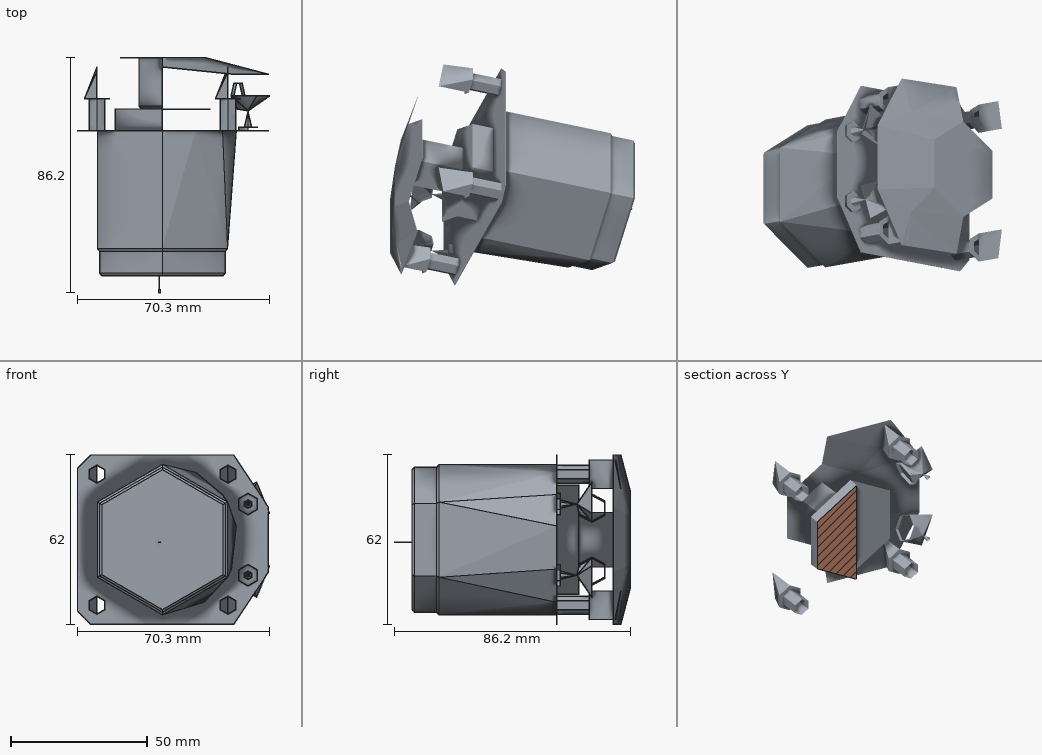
import cadquery as cq
import math


SHEET = 0.2

FLANGE_LEFT = 31.1
FLANGE_HEIGHT = 62.0
FLANGE_HALF_HEIGHT = FLANGE_HEIGHT / 2
FLANGE_CORNER = 4.8
RIM_RADIUS = 40.5
RIM_HALF_ANGLE = 17.2

HOUSING_RADIUS = 27.5
NECK_RADIUS = 26.55
HOUSING_LENGTH = 44.1
NECK_END = 53.1
CHAMFER = 0.95
SPLIT_ANGLE = 79.5
FACETS_PER_RUN = 3

TIP_X = -1.1
TIP_Z = -0.9
TIP_END = 59.4
TIP_LENGTH = 1.3
TIP_WIDTH = 0.7

HUB_RADIUS = 20.0
HUB_HEIGHT = 7.9
ARM_RADIUS = 10.0
ARM_START = 9.0

COVER_Y = 26.8
COVER_DISC_RADIUS = 17.75
COVER_SIDE_Y = 23.35
COVER_RIM_Y = 20.7

PIN_OFFSET = 24.0
PIN_RADIUS = 3.4
PIN_LENGTH = 11.8
COLLAR_RADIUS = 5.3
WEDGE_INNER_Y = 23.35
WEDGE_OUTER_Y = 21.55

TERMINAL_X = 31.3
TERMINAL_Z = 13.0
CUP_RADIUS = 8.0 / 2
CUP_DEPTH = 1.3
SPIKE_RADIUS = 1.6
SPIKE_END = 7.2
SPIKE_TIP = 0.9
LUG_AXIS_Y = 12.8
LUG_INNER = 29.4
LUG_OUTER = 39.9
LUG_RING_RADIUS = 5.35
LUG_END_RADIUS = 6.2
LUG_RING_WIDTH = 1.1


def on_circle(radius, degrees_from_top):
    """X and Z of a point on a circle, measured from +Z towards +X."""
    angle = math.radians(degrees_from_top)
    return radius * math.sin(angle), radius * math.cos(angle)


def hexagon(radius):
    """Six corners, two of them on the Z axis."""
    return [on_circle(radius, 60 * i) for i in range(6)]


def half_hexagon(radius):
    """The -X half of the hexagon."""
    return [on_circle(radius, 180 + 60 * i) for i in range(4)]


def shifted(outline, x, z):
    return [(px + x, pz + z) for px, pz in outline]


def polygon(points):
    return cq.Wire.makePolygon([cq.Vector(*point) for point in points], close=True)


def wire(outline, y):
    return polygon([(x, y, z) for x, z in outline])


def prism(outline, y_start, y_end):
    return cq.Solid.extrudeLinear(wire(outline, y_start), [], cq.Vector(0, y_end - y_start, 0))


def frustum(outline_start, y_start, outline_end, y_end):
    return cq.Solid.makeLoft([wire(outline_start, y_start), wire(outline_end, y_end)], True)


def polyhedron(faces):
    sides = [cq.Face.makeFromWires(polygon(face)) for face in faces]
    return cq.Solid.makeSolid(cq.Shell.makeShell(sides))


def facet_sheet(faces):
    """Thin sheet made of flat facets, each thickened towards -Y."""
    plates = [cq.Solid.extrudeLinear(polygon(face), [], cq.Vector(0, -SHEET, 0)) for face in faces]
    return plates[0].fuse(*plates[1:])


def mirrored_z(points):
    return [(x, y, -z) for x, y, z in points]


def rim_corners():
    """Corners of the +X edge above the middle: end of the top edge, then the upright facet."""
    top_x = math.sqrt(RIM_RADIUS**2 - FLANGE_HALF_HEIGHT**2)
    return (top_x, FLANGE_HALF_HEIGHT), on_circle(RIM_RADIUS, 90 - RIM_HALF_ANGLE)


def flange():
    upper = [(-FLANGE_LEFT, FLANGE_HALF_HEIGHT - FLANGE_CORNER),
             (-FLANGE_LEFT + FLANGE_CORNER, FLANGE_HALF_HEIGHT),
             *rim_corners()]
    lower = [(x, -z) for x, z in reversed(upper)]
    return prism(upper + lower, -SHEET, 0)


def housing():
    """Hexagonal at the front; its +X side opens into finer facets at the flange."""
    front_y = CHAMFER - HOUSING_LENGTH
    front = [(x, front_y, z) for x, z in hexagon(HOUSING_RADIUS)]
    first_run = [SPLIT_ANGLE * i / FACETS_PER_RUN for i in range(FACETS_PER_RUN + 1)]
    second_step = (180 - SPLIT_ANGLE) / FACETS_PER_RUN
    second_run = [SPLIT_ANGLE + second_step * (i + 1) for i in range(FACETS_PER_RUN)]
    rear_angles = first_run + second_run + [240, 300]
    rear = [(x, 0, z) for x, z in (on_circle(HOUSING_RADIUS, a) for a in rear_angles)]

    faces = [front, rear]
    faces += [(front[f], rear[r], rear[r + 1]) for f, r in ((0, 0), (1, 1), (1, 2), (2, 3), (2, 4), (3, 5))]
    faces += [(rear[r], front[f], front[f + 1]) for r, f in ((1, 0), (3, 1), (5, 2))]
    faces += [(front[3], front[4], rear[7], rear[6]),
              (front[4], front[5], rear[8], rear[7]),
              (front[5], front[0], rear[0], rear[8])]
    return polyhedron(faces)


def neck():
    body_edge = CHAMFER - HOUSING_LENGTH
    neck_edge = CHAMFER - NECK_END
    shoulder = frustum(hexagon(HOUSING_RADIUS), body_edge, hexagon(NECK_RADIUS), -HOUSING_LENGTH)
    barrel = prism(hexagon(NECK_RADIUS), -HOUSING_LENGTH, neck_edge)
    nose = frustum(hexagon(NECK_RADIUS), neck_edge, hexagon(NECK_RADIUS - CHAMFER), -NECK_END)
    return shoulder.fuse(barrel, nose)


def tip():
    """Small flat point carried by a thin stem."""
    def bar(width, length):
        corner = cq.Vector(TIP_X - width / 2, -TIP_END, TIP_Z - SHEET / 2)
        return cq.Solid.makeBox(width, length, SHEET, corner)

    return bar(SHEET, TIP_END - NECK_END).fuse(bar(TIP_WIDTH, TIP_LENGTH))


def hub_and_arm():
    """Half-hexagon hub under a full plate, and the half-hexagon arm up to the cover."""
    hub = prism(half_hexagon(HUB_RADIUS), 0, HUB_HEIGHT)
    plate = prism(hexagon(HUB_RADIUS), HUB_HEIGHT - SHEET, HUB_HEIGHT)
    taper = ARM_START - HUB_HEIGHT
    foot = frustum(half_hexagon(ARM_RADIUS - taper), HUB_HEIGHT, half_hexagon(ARM_RADIUS), ARM_START)
    arm = prism(half_hexagon(ARM_RADIUS), ARM_START, COVER_Y)
    return hub.fuse(plate, foot, arm)


def cover():
    """Flat hexagon whose +X half continues outwards as a faceted skirt."""
    (top_x, top_z), (side_x, side_z) = rim_corners()
    disc_side_x, disc_side_z = on_circle(COVER_DISC_RADIUS, 60)
    disc_top = (0, COVER_Y, COVER_DISC_RADIUS)
    disc_side = (disc_side_x, COVER_Y, disc_side_z)
    skirt_start = (0, COVER_SIDE_Y, top_z)
    rim_top = (top_x, COVER_RIM_Y, top_z)
    rim_side = (side_x, COVER_RIM_Y, side_z)
    pin_point = (PIN_OFFSET, WEDGE_INNER_Y, PIN_OFFSET - COLLAR_RADIUS)

    upper = [(disc_top, skirt_start, pin_point),
             (skirt_start, rim_top, pin_point),
             (disc_top, pin_point, disc_side),
             (pin_point, rim_top, rim_side),
             (disc_side, pin_point, rim_side)]
    lower = [mirrored_z(face) for face in upper]
    middle = [disc_side, rim_side, *mirrored_z([rim_side, disc_side])]
    skirt = facet_sheet(upper + lower + [middle])
    return skirt.fuse(prism(hexagon(COVER_DISC_RADIUS), COVER_Y - SHEET, COVER_Y))


def pin(x, z):
    """Pin with collar and a wedge on its -X half, longer towards the middle of the part."""
    shank = prism(shifted(hexagon(PIN_RADIUS), x, z), -SHEET, PIN_LENGTH)
    collar = prism(shifted(hexagon(COLLAR_RADIUS), x, z), PIN_LENGTH - SHEET, PIN_LENGTH)

    outer_top = (0, WEDGE_OUTER_Y, -COLLAR_RADIUS)
    inner_top = (0, WEDGE_INNER_Y, COLLAR_RADIUS)
    base = [(px, PIN_LENGTH, pz) for px, pz in half_hexagon(COLLAR_RADIUS)]
    wedge = polyhedron([base,
                        (base[0], outer_top, inner_top, base[3]),
                        (base[0], base[1], outer_top),
                        (base[1], base[2], outer_top),
                        (base[2], inner_top, outer_top),
                        (base[2], base[3], inner_top)])
    if z > 0:
        wedge = wedge.mirror("XY")
    return shank.fuse(collar, wedge.moved(cq.Location(cq.Vector(x, 0, z))))


def pin_bore(x, z):
    return prism(shifted(hexagon(PIN_RADIUS - SHEET), x, z), -SHEET, PIN_LENGTH)


def terminal_outline(radius):
    return shifted(hexagon(radius), TERMINAL_X, TERMINAL_Z)


def terminal_opening():
    """Hexagonal opening through the flange in front of the cup."""
    return prism(terminal_outline(CUP_RADIUS - SHEET), -SHEET, 0)


def spike(radius, end):
    ring = [(x, CUP_DEPTH - SHEET, z) for x, z in terminal_outline(radius)]
    point = (TERMINAL_X, end, TERMINAL_Z)
    return polyhedron([ring] + [(ring[i - 1], ring[i], point) for i in range(6)])


def terminal_cup():
    """Recessed seat behind the flange, walled on its -X half, with a hollow spike."""
    floor = prism(terminal_outline(CUP_RADIUS), CUP_DEPTH - SHEET, CUP_DEPTH)
    half_outline = shifted(half_hexagon(CUP_RADIUS), TERMINAL_X, TERMINAL_Z)
    inside = prism(terminal_outline(CUP_RADIUS - SHEET), -SHEET, CUP_DEPTH)
    wall = prism(half_outline, -SHEET, CUP_DEPTH).cut(inside)
    cup = floor.fuse(wall, spike(SPIKE_RADIUS, SPIKE_END))
    return cup.cut(spike(SPIKE_RADIUS - SHEET, SPIKE_END - SPIKE_TIP))


def lug():
    """Ring and open flared trough of the +Z terminal, pointing away from the part's axis."""
    angle = math.atan2(TERMINAL_Z, TERMINAL_X)
    spike_distance = math.hypot(TERMINAL_X, TERMINAL_Z)

    def place(outward, across, y):
        return (outward * math.cos(angle) - across * math.sin(angle), y,
                outward * math.sin(angle) + across * math.cos(angle))

    def ring_wire(radius):
        corners = [on_circle(radius, 90 + 60 * i) for i in range(6)]
        return polygon([place(LUG_INNER, a, LUG_AXIS_Y + h) for a, h in corners])

    along = cq.Vector(*place(LUG_RING_WIDTH, 0, 0))
    ring = cq.Solid.extrudeLinear(ring_wire(LUG_RING_RADIUS), [ring_wire(LUG_RING_RADIUS - SHEET)], along)

    edge = [on_circle(LUG_RING_RADIUS, 90 + 60 * i) for i in range(4)]
    inner = [place(LUG_INNER, a, LUG_AXIS_Y + h) for a, h in edge]
    contact = place(spike_distance, 0, SPIKE_END + SHEET / 2)
    ends = [place(LUG_OUTER, a, LUG_AXIS_Y) for a in (LUG_END_RADIUS, -LUG_END_RADIUS)]
    facets = [(inner[0], inner[1], contact),
              (inner[1], inner[2], contact),
              (inner[2], inner[3], contact),
              (inner[0], contact, ends[0]),
              (inner[3], contact, ends[1]),
              (contact, *ends)]
    return ring.fuse(facet_sheet(facets))


def terminal():
    """Complete +Z terminal."""
    return terminal_cup().fuse(lug())


pin_places = [(x, z) for x in (-PIN_OFFSET, PIN_OFFSET) for z in (-PIN_OFFSET, PIN_OFFSET)]
upper_terminal = terminal()
upper_opening = terminal_opening()

body = flange().cut(upper_opening, upper_opening.mirror("XY"))
body = body.fuse(housing(), neck(), tip(), hub_and_arm(), cover())
body = body.fuse(*[pin(x, z) for x, z in pin_places])
body = body.cut(*[pin_bore(x, z) for x, z in pin_places])
body = body.fuse(upper_terminal, upper_terminal.mirror("XY"))

result = cq.Workplane(body.Solids()[0])